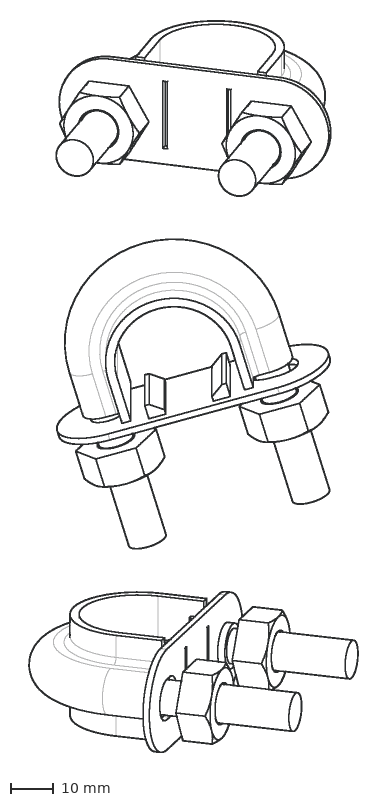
import cadquery as cq
import math


bend_radius = 20.0
shank_diameter = 8.4
thread_diameter = 9.2
overall_length = 71.7

rib_half_width = 5.7
liner_outer_radius = 16.1
liner_thickness = 2.15
part_width = 25.0
rib_root_fillet = 1.4
sleeve_end_y = -11.4
rib_outer_radius = bend_radius + rib_half_width
leg_end_y = rib_outer_radius - overall_length

plate_length = 66.5
plate_thickness = 1.6
plate_top_y = -13.05
plate_bottom_y = plate_top_y - plate_thickness
plate_end_radius = part_width / 2
plate_center_x = bend_radius + plate_end_radius - plate_length / 2
leg_slot_width = 10.0
leg_slot_length = 12.1
leg_slot_center_x = -20.5
collar_diameter = 10.8
collar_height = 1.8

tab_outer_x = 10.0
tab_inner_x = 5.8
tab_crest_width = 1.1
tab_height = 3.45
tab_inner_height = 1.15
tab_width = 19.8
groove_outer_x = 8.4
groove_inner_x = 7.3
groove_width = 17.1
groove_inner_depth = tab_inner_height
tab_slope = (tab_height - tab_inner_height) / (tab_outer_x - tab_crest_width - tab_inner_x)
groove_outer_depth = groove_inner_depth + (groove_outer_x - groove_inner_x) * tab_slope

nut_across_flats = 17.1
nut_height = 8.0
nut_top_y = -19.8
nut_end_y = nut_top_y - nut_height
nut_chamfer_angle = math.radians(30)
countersink_diameter = 10.0
countersink_depth = (countersink_diameter - thread_diameter) / 2

LEG_SIDES = (-1, 1)


def leg_cylinder(x, diameter, start_y, end_y):
    """Cylinder along a leg, from start_y down to end_y."""
    return (
        cq.Workplane("XZ", origin=(x, start_y, 0))
        .circle(diameter / 2)
        .extrude(start_y - end_y)
    )


def prism_z(points, width):
    """Prism of an XY outline, centred on Z = 0."""
    return cq.Workplane("XY").polyline(points).close().extrude(width / 2, both=True)


def half_turn(profile):
    """Revolve an XY profile (X as the radius, Y as the height) half a turn over the legs."""
    ring = profile.revolve(360, (0, 0, 0), (0, 1, 0)).rotate((0, 0, 0), (1, 0, 0), 90)
    size = 4 * rib_outer_radius
    return ring.intersect(cq.Workplane("XY").box(size, size, size).translate((0, size / 2, 0)))


def make_u_bolt():
    bolt = half_turn(cq.Workplane("XY").moveTo(bend_radius, 0).circle(shank_diameter / 2))
    for side in LEG_SIDES:
        x = side * bend_radius
        bolt = bolt.union(leg_cylinder(x, shank_diameter, 0, nut_top_y))
        bolt = bolt.union(leg_cylinder(x, thread_diameter, nut_top_y, leg_end_y))
    return bolt


def sleeve_profile(plane):
    """Half section of the sleeve: liner strip, fillets at the rib root, round-topped rib."""
    root = liner_outer_radius
    inner = root - liner_thickness
    edge = part_width / 2
    fillet = rib_root_fillet
    bulge = fillet * (1 - math.sqrt(0.5))
    return (
        cq.Workplane(plane)
        .moveTo(inner, -edge)
        .lineTo(root, -edge)
        .lineTo(root, -rib_half_width - fillet)
        .threePointArc((root + bulge, -rib_half_width - bulge), (root + fillet, -rib_half_width))
        .lineTo(bend_radius, -rib_half_width)
        .threePointArc((rib_outer_radius, 0), (bend_radius, rib_half_width))
        .lineTo(root + fillet, rib_half_width)
        .threePointArc((root + bulge, rib_half_width + bulge), (root, rib_half_width + fillet))
        .lineTo(root, edge)
        .lineTo(inner, edge)
        .close()
    )


def make_sleeve(bolt):
    leg = sleeve_profile("XZ").extrude(-sleeve_end_y)
    sleeve = half_turn(sleeve_profile("XY")).union(leg).union(leg.mirror("YZ"))
    return sleeve.cut(bolt)


def add_tab(plate, side):
    """Tab that slopes down towards the middle, and the groove under it."""
    tab = prism_z(
        [
            (side * tab_outer_x, plate_top_y),
            (side * tab_outer_x, plate_top_y + tab_height),
            (side * (tab_outer_x - tab_crest_width), plate_top_y + tab_height),
            (side * tab_inner_x, plate_top_y + tab_inner_height),
            (side * tab_inner_x, plate_top_y),
        ],
        tab_width,
    )
    groove = prism_z(
        [
            (side * groove_outer_x, plate_bottom_y),
            (side * groove_outer_x, plate_bottom_y + groove_outer_depth),
            (side * groove_inner_x, plate_bottom_y + groove_inner_depth),
            (side * groove_inner_x, plate_bottom_y),
        ],
        groove_width,
    )
    return plate.union(tab).cut(groove)


def make_plate():
    plate = (
        cq.Workplane("XZ", origin=(plate_center_x, plate_top_y, 0))
        .slot2D(plate_length, part_width)
        .extrude(plate_thickness)
    )
    collar_end_y = plate_bottom_y - collar_height
    plate = plate.union(leg_cylinder(bend_radius, collar_diameter, plate_top_y, collar_end_y))
    plate = plate.cut(leg_cylinder(bend_radius, shank_diameter, plate_top_y, collar_end_y))
    leg_slot = (
        cq.Workplane("XZ", origin=(leg_slot_center_x, plate_top_y, 0))
        .slot2D(leg_slot_length, leg_slot_width)
        .extrude(plate_thickness)
    )
    plate = plate.cut(leg_slot)
    for side in LEG_SIDES:
        plate = add_tab(plate, side)
    return plate


def make_nut(x):
    corner_radius = nut_across_flats / math.sqrt(3)
    face_radius = nut_across_flats / 2
    chamfer_height = (corner_radius - face_radius) * math.tan(nut_chamfer_angle)
    hexagon = (
        cq.Workplane("XZ", origin=(0, nut_top_y, 0))
        .polygon(6, 2 * corner_radius)
        .extrude(nut_height)
    )
    envelope = (
        cq.Workplane("XY")
        .polyline(
            [
                (thread_diameter / 2, nut_top_y),
                (corner_radius, nut_top_y),
                (corner_radius, nut_end_y + chamfer_height),
                (face_radius, nut_end_y),
                (countersink_diameter / 2, nut_end_y),
                (thread_diameter / 2, nut_end_y + countersink_depth),
            ]
        )
        .close()
        .revolve(360, (0, 0, 0), (0, 1, 0))
    )
    return hexagon.intersect(envelope).translate((x, 0, 0))


u_bolt = make_u_bolt()
sleeve = make_sleeve(u_bolt)
plate = make_plate()
nuts = [make_nut(side * bend_radius) for side in LEG_SIDES]

result = cq.Compound.makeCompound(
    [u_bolt.val(), sleeve.val(), plate.val(), *[nut.val() for nut in nuts]]
)